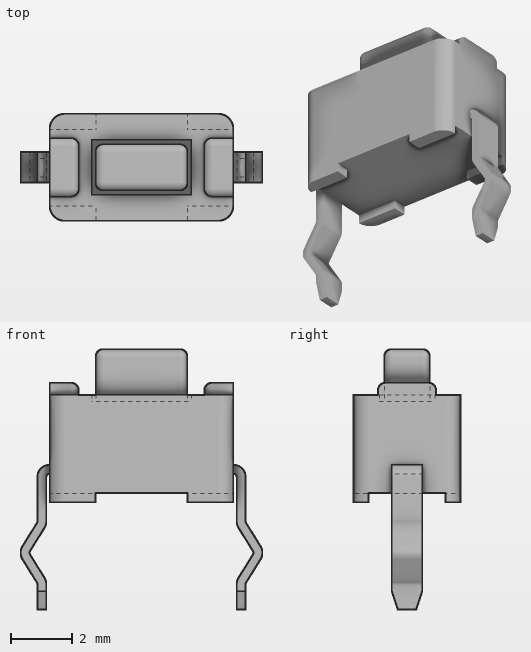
import cadquery as cq
import math

overall_length = 7.9
overall_height = 8.5

body_length = 6.0
body_width = 3.5
body_height = 3.5
corner_radius = 0.5

foot_height = 0.3
recess_length = body_length / 2
recess_width = body_width - 2 * corner_radius

button_length = body_length / 2
button_width = button_length / 2
button_rise = 1.5
button_radius = 0.25
pocket_length = 3.25
pocket_width = 1.8
pocket_depth = 0.2

pad_length = 0.95
pad_width = 1.9
pad_rise = 0.4
pad_radius = button_radius

leg_thickness = 0.3
leg_width = 1.0
leg_face_x = 3.4
leg_reach_x = overall_length / 2
leg_top_z = 1.22
leg_bottom_z = body_height + button_rise - overall_height
leg_anchor = corner_radius
kink_z = -1.65
kink_slope = math.radians(31.8)
inner_bend_radius = 0.1
outer_bend_radius = inner_bend_radius + leg_thickness
tip_width = 0.6
tip_height = 0.6


def make_housing():
    """Rounded block with a cross-shaped recess cut along X and Y in its underside."""
    body = (
        cq.Workplane("XY")
        .box(body_length, body_width, body_height, centered=(True, True, False))
        .edges("|Z")
        .fillet(corner_radius)
    )
    recess_arms = ((recess_length, body_width), (body_length, recess_width))
    for length, width in recess_arms:
        body = body.cut(cq.Workplane("XY").rect(length, width).extrude(foot_height))
    return body


def make_pocket():
    floor = cq.Workplane("XY", origin=(0, 0, body_height - pocket_depth))
    return floor.rect(pocket_length, pocket_width).extrude(pocket_depth)


def make_button():
    floor = cq.Workplane("XY", origin=(0, 0, body_height - pocket_depth))
    block = floor.rect(button_length, button_width).extrude(pocket_depth + button_rise)
    return block.edges("|Z or >Z").fillet(button_radius)


def make_pad():
    """Pad at the +X end, flush with the end face and rounded on its other sides."""
    center_x = (body_length - pad_length) / 2
    base = cq.Workplane("XY", origin=(center_x, 0, body_height))
    block = base.rect(pad_length, pad_width).extrude(pad_rise)
    return block.edges("(<X and |Z) or (>Z and (not >X))").fillet(pad_radius)


def make_leg_front():
    """Leg shape seen along X: a straight strip with a tapered tip."""
    half_width = leg_width / 2
    half_tip = tip_width / 2
    taper_z = leg_bottom_z + tip_height
    outline = [
        (-half_width, leg_top_z),
        (-half_width, taper_z),
        (-half_tip, leg_bottom_z),
        (half_tip, leg_bottom_z),
        (half_width, taper_z),
        (half_width, leg_top_z),
    ]
    return cq.Workplane("YZ").polyline(outline).close().extrude(leg_reach_x)


def make_leg():
    """Leg at the +X end: a strip with sharp bends that are then rounded."""
    kink_pull_back = outer_bend_radius * (1 / math.cos(kink_slope) - 1)
    kink_outer_x = leg_reach_x + kink_pull_back
    kink_inner_x = kink_outer_x - leg_thickness / math.cos(kink_slope)
    outer_half_height = (kink_outer_x - leg_face_x) / math.tan(kink_slope)
    inner_half_height = outer_half_height - leg_thickness * math.tan(kink_slope / 2)

    back_x = leg_face_x - leg_thickness
    arm_end_x = body_length / 2 - leg_anchor
    arm_bottom_z = leg_top_z - leg_thickness

    elbow_outer = (leg_face_x, leg_top_z)
    elbow_inner = (back_x, arm_bottom_z)
    kink_outer = (kink_outer_x, kink_z)
    kink_inner = (kink_inner_x, kink_z)
    face_bends = [(leg_face_x, kink_z + side * outer_half_height) for side in (1, -1)]
    back_bends = [(back_x, kink_z + side * inner_half_height) for side in (1, -1)]

    outer_side = [(arm_end_x, leg_top_z), elbow_outer, face_bends[0], kink_outer, face_bends[1]]
    inner_side = [(arm_end_x, arm_bottom_z), elbow_inner, back_bends[0], kink_inner, back_bends[1]]
    tip = [(leg_face_x, leg_bottom_z), (back_x, leg_bottom_z)]
    outline = outer_side + tip + inner_side[::-1]
    leg = cq.Workplane("XZ").polyline(outline).close().extrude(leg_width / 2, both=True)

    bend_groups = (
        (outer_bend_radius, [elbow_outer, kink_outer, *back_bends]),
        (inner_bend_radius, [elbow_inner, kink_inner, *face_bends]),
    )
    for radius, corners in bend_groups:
        for x, z in corners:
            leg = leg.edges("|Y").edges(cq.NearestToPointSelector((x, 0, z))).fillet(radius)
    return leg.intersect(make_leg_front())


result = make_housing().cut(make_pocket()).union(make_button())
for end_part in (make_pad(), make_leg()):
    result = result.union(end_part).union(end_part.mirror("YZ"))